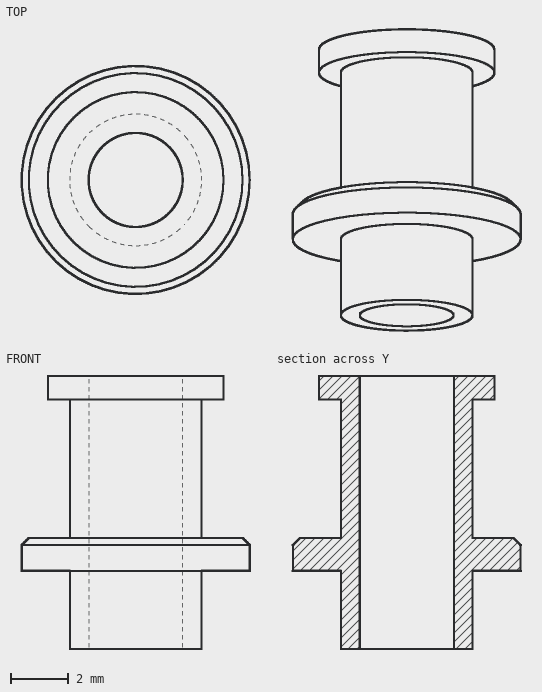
import cadquery as cq

bore_diameter = 3.26
barrel_diameter = 4.58
head_diameter = 6.1
collar_diameter = 7.92

total_height = 9.48
head_thickness = 0.82
collar_bottom = 2.71
collar_thickness = 1.15
collar_chamfer = 0.25


def disc(diameter, bottom, height):
    """Solid cylinder on the Z axis, standing on the given level."""
    return cq.Workplane("XY").workplane(offset=bottom).circle(diameter / 2).extrude(height)


def collar():
    """Wide middle flange with its upper rim chamfered."""
    blank = disc(collar_diameter, collar_bottom, collar_thickness)
    return blank.faces(">Z").edges().chamfer(collar_chamfer)


barrel = disc(barrel_diameter, 0, total_height)
head = disc(head_diameter, total_height - head_thickness, head_thickness)
bore = disc(bore_diameter, 0, total_height)

result = barrel.union(head).union(collar()).cut(bore)